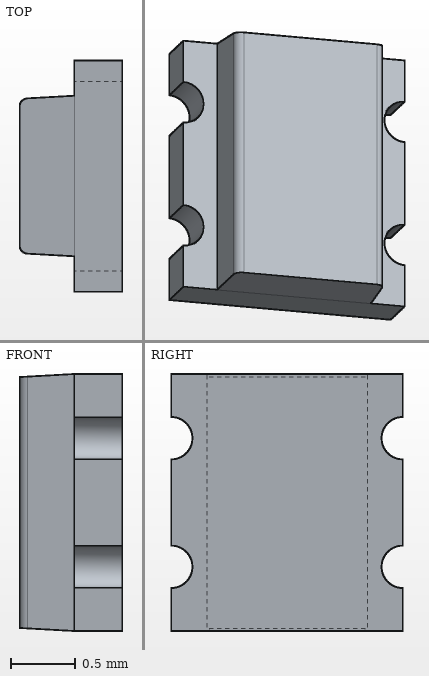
import cadquery as cq
import math

thickness = 0.8
width = 1.8
height = 2.0

plate_thickness = 0.375
notch_radius = 0.165
notch_offset = 0.5

lens_width = 1.25
lens_draft = 3.2
lens_edge_radius = 0.065
lens_depth = thickness - plate_thickness
plate_front = thickness / 2 - plate_thickness


def make_plate():
    """Plate with two half-round notches through each of its long edges."""
    plate = cq.Workplane("YZ", origin=(plate_front, 0, 0)).rect(width, height).extrude(plate_thickness)
    centers = [(y, z) for y in (-width / 2, width / 2) for z in (-notch_offset, notch_offset)]
    notches = (
        cq.Workplane("YZ", origin=(plate_front, 0, 0))
        .pushPoints(centers)
        .circle(notch_radius)
        .extrude(plate_thickness)
    )
    return plate.cut(notches)


def make_lens():
    """Block drafted on all four sides, with its two long outer edges rounded."""
    inset = 2 * lens_depth * math.tan(math.radians(lens_draft))
    lens = (
        cq.Workplane("YZ", origin=(plate_front, 0, 0))
        .rect(lens_width, height)
        .workplane(offset=-lens_depth)
        .rect(lens_width - inset, height - inset)
        .loft(ruled=True)
    )
    return lens.faces("<X").edges("|Z").fillet(lens_edge_radius)


result = make_plate().union(make_lens())